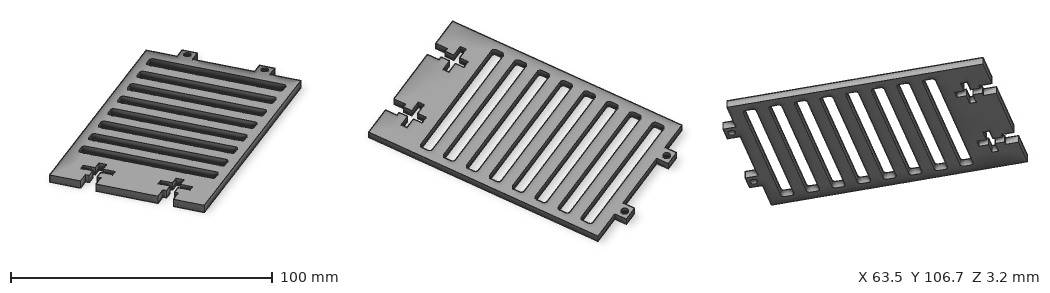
import cadquery as cq

total_length = 106.7
width = 63.5
thickness = 3.2

tab_width = 6.3
tab_length = 5.1
tab_offset = width / 4
tab_hole_diameter = 2.9
plate_length = total_length - tab_length

slot_count = 8
slot_length = 55.9
slot_height = 5.1
slot_pitch = plate_length / 10
slot_edge_gap = 5.1
slot_corner_radius = 1.3

upright_width = 3.2
upright_length = 10.1
crossbar_length = 13.0
crossbar_height = 2.6
crossbar_y = tab_length + upright_length / 2


def block(x_size, y_size, x_center, y_start):
    """Full-thickness block centred on x_center, running in +Y from y_start."""
    return (
        cq.Workplane("XY")
        .box(x_size, y_size, thickness, centered=(True, False, False))
        .translate((x_center, y_start, 0))
    )


def tab(x_center):
    """Rear tab with a central through hole."""
    body = block(tab_width, tab_length, x_center, plate_length)
    return body.faces(">Z").workplane(centerOption="CenterOfMass").hole(tab_hole_diameter)


def cross_cutout(x_center):
    """Front-edge notch leading into a cross."""
    notch = block(tab_width, tab_length, x_center, 0)
    upright = block(upright_width, upright_length, x_center, tab_length)
    crossbar = block(crossbar_length, crossbar_height, x_center, crossbar_y - crossbar_height / 2)
    return notch.union(upright).union(crossbar)


def slot(index):
    """Rounded rectangular slot, counted from the rear edge."""
    y_start = plate_length - slot_edge_gap - slot_height - index * slot_pitch
    return block(slot_length, slot_height, 0, y_start).edges("|Z").fillet(slot_corner_radius)


result = block(width, plate_length, 0, 0)

for index in range(slot_count):
    result = result.cut(slot(index))

for x_center in (-tab_offset, tab_offset):
    result = result.union(tab(x_center)).cut(cross_cutout(x_center))